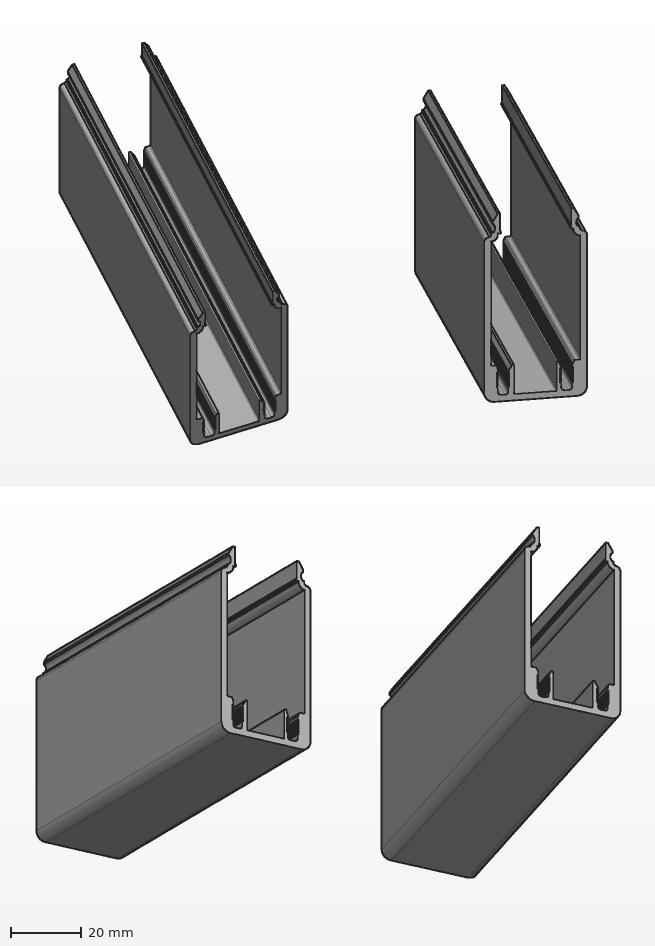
import cadquery as cq
import math

LENGTH = 100.0
WIDTH = 30.0
HEIGHT = 57.5
WALL = 2.0
BASE_RADIUS = 3.0

SHOULDER_RADIUS = 1.5
SHOULDER_TOP = 50.5
SHOULDER_BOTTOM = 49.1
NECK_RADIUS = 2.0

STEP_DEPTH = 2.1
STEP_BOTTOM = 51.0
STEP_TOP = 51.8
STEP_CHAMFER = 0.2
WAIST_DEPTH = 3.2
HOOK_DEPTH = 2.5
HOOK_BOTTOM = 54.5
HOOK_TOP = 55.2
TIP_DEPTH = 3.9
LIP_INNER_DEPTH = 4.6
BEAD_DEPTH = 4.9
BEAD_EDGE_DEPTH = 4.7
BEAD_BOTTOM = 51.4
BEAD_TOP = 52.1

PAD_TOP = 11.1
PAD_EDGE_RADIUS = 0.4
RIB_CAP_BOTTOM = 10.7
RIB_FOOT_RADIUS = 0.3
TOOTH_PITCH = 0.8
TOOTH_DEPTH = 0.3
TOOTH_FLAT = 0.2
TOOTH_COUNT = 6
TEETH_BOTTOM = 4.2

OVERLAP = 0.5


def side_point(side, depth, z):
    """A point at a depth inward from the outer face of one side (+1 or -1 along Y)."""
    return (side * (WIDTH / 2 - depth), z)


def sketch_from(side, depth, z):
    start_x = -LENGTH / 2
    return cq.Workplane("YZ", origin=(start_x, 0, 0)).moveTo(*side_point(side, depth, z))


def make_base():
    """Flat base with rounded outer corners and two plain side walls."""
    wall_top = SHOULDER_TOP - SHOULDER_RADIUS
    outer = cq.Workplane("XY").box(LENGTH, WIDTH, wall_top, centered=(True, True, False))
    outer = outer.edges("|X and <Z").fillet(BASE_RADIUS)
    cavity = cq.Workplane("XY", origin=(0, 0, WALL)).box(
        LENGTH, WIDTH - 2 * WALL, wall_top, centered=(True, True, False)
    )
    return outer.cut(cavity)


def make_lip(side):
    """Rounded shoulder, curved neck, stepped waist and hooked tip on one wall."""

    def at(depth, z):
        return side_point(side, depth, z)

    shoulder_start = SHOULDER_TOP - SHOULDER_RADIUS
    shoulder_slack = SHOULDER_RADIUS * (1 - math.sqrt(0.5))
    neck_depth = WALL + NECK_RADIUS
    neck_reach = NECK_RADIUS * math.sqrt(0.5)
    neck_top = SHOULDER_BOTTOM + NECK_RADIUS
    return (
        sketch_from(side, 0, shoulder_start - OVERLAP)
        .lineTo(*at(0, shoulder_start))
        .threePointArc(at(shoulder_slack, SHOULDER_TOP - shoulder_slack), at(SHOULDER_RADIUS, SHOULDER_TOP))
        .lineTo(*at(STEP_DEPTH, STEP_BOTTOM))
        .lineTo(*at(STEP_DEPTH, STEP_TOP - STEP_CHAMFER))
        .lineTo(*at(STEP_DEPTH + STEP_CHAMFER, STEP_TOP))
        .lineTo(*at(HOOK_DEPTH, STEP_TOP))
        .threePointArc(at(WAIST_DEPTH, (STEP_TOP + HOOK_BOTTOM) / 2), at(HOOK_DEPTH, HOOK_BOTTOM))
        .lineTo(*at(HOOK_DEPTH, HOOK_TOP))
        .lineTo(*at(TIP_DEPTH, HEIGHT))
        .lineTo(*at(LIP_INNER_DEPTH, HEIGHT))
        .lineTo(*at(LIP_INNER_DEPTH, BEAD_TOP))
        .lineTo(*at(BEAD_EDGE_DEPTH, BEAD_TOP))
        .threePointArc(at(BEAD_DEPTH, (BEAD_TOP + BEAD_BOTTOM) / 2), at(BEAD_EDGE_DEPTH, BEAD_BOTTOM))
        .lineTo(*at(neck_depth, BEAD_BOTTOM))
        .lineTo(*at(neck_depth, neck_top))
        .threePointArc(at(WALL + neck_reach, neck_top - neck_reach), at(WALL, SHOULDER_BOTTOM))
        .lineTo(*at(WALL, shoulder_start - OVERLAP))
        .close()
        .extrude(LENGTH)
    )


def make_pad(side, inner_depth):
    """Solid block in a bottom corner, from which a screw channel is cut."""
    pad_bottom = WALL - OVERLAP
    outer_depth = WALL - OVERLAP
    return (
        sketch_from(side, outer_depth, pad_bottom)
        .lineTo(*side_point(side, inner_depth, pad_bottom))
        .lineTo(*side_point(side, inner_depth, PAD_TOP))
        .lineTo(*side_point(side, outer_depth, PAD_TOP))
        .close()
        .extrude(LENGTH)
    )


def teeth(face_depth, outward):
    """Flat-bottomed grooves up a channel face, cut toward +depth (outward 1) or -depth (outward -1)."""
    root_depth = face_depth + outward * TOOTH_DEPTH
    points = []
    for tooth in range(TOOTH_COUNT):
        z = TEETH_BOTTOM + tooth * TOOTH_PITCH
        points += [
            (face_depth, z + TOOTH_FLAT / 2),
            (root_depth, z + TOOTH_PITCH / 2 - TOOTH_FLAT / 2),
            (root_depth, z + TOOTH_PITCH / 2 + TOOTH_FLAT / 2),
            (face_depth, z + TOOTH_PITCH - TOOTH_FLAT / 2),
        ]
    return points


def make_channel(
    side,
    wall_face,
    rib_face,
    wall_mouth,
    rib_mouth,
    wall_flare_bottom,
    rib_flare_bottom,
    floor_radius,
    rib_inner,
):
    """Cutter for a toothed slot with a rounded floor, a flared mouth and a round cap on its rib."""

    def at(depth, z):
        return side_point(side, depth, z)

    slack = floor_radius * (1 - math.sqrt(0.5))
    cutter_top = PAD_TOP + OVERLAP
    outline = (
        sketch_from(side, wall_face, WALL + floor_radius)
        .threePointArc(at(wall_face + slack, WALL + slack), at(wall_face + floor_radius, WALL))
        .lineTo(*at(rib_face - floor_radius, WALL))
        .threePointArc(at(rib_face - slack, WALL + slack), at(rib_face, WALL + floor_radius))
    )
    for depth, z in teeth(rib_face, 1):
        outline = outline.lineTo(*at(depth, z))
    outline = (
        outline.lineTo(*at(rib_face, rib_flare_bottom))
        .lineTo(*at(rib_mouth, RIB_CAP_BOTTOM))
        .threePointArc(at((rib_mouth + rib_inner) / 2, PAD_TOP), at(rib_inner, RIB_CAP_BOTTOM))
        .lineTo(*at(rib_inner + OVERLAP, RIB_CAP_BOTTOM))
        .lineTo(*at(rib_inner + OVERLAP, cutter_top))
        .lineTo(*at(wall_mouth, cutter_top))
        .lineTo(*at(wall_mouth, PAD_TOP))
        .lineTo(*at(wall_face, wall_flare_bottom))
    )
    for depth, z in reversed(teeth(wall_face, -1)):
        outline = outline.lineTo(*at(depth, z))
    return outline.close().extrude(LENGTH)


def fillet_line(body, y, z, radius):
    """Round the lengthwise edge at one place in the cross-section."""
    reach = 0.05
    here = cq.selectors.BoxSelector(
        (-LENGTH, y - reach, z - reach), (LENGTH, y + reach, z + reach)
    )
    return body.edges("|X").edges(here).fillet(radius)


CHANNELS = {
    1: dict(
        wall_face=4.0,
        rib_face=7.0,
        wall_mouth=3.6,
        rib_mouth=8.0,
        wall_flare_bottom=9.8,
        rib_flare_bottom=9.1,
        floor_radius=1.0,
        rib_inner=8.7,
    ),
    -1: dict(
        wall_face=4.3,
        rib_face=7.6,
        wall_mouth=3.7,
        rib_mouth=8.1,
        wall_flare_bottom=9.8,
        rib_flare_bottom=9.4,
        floor_radius=1.2,
        rib_inner=8.9,
    ),
}

body = make_base()
for side, channel in CHANNELS.items():
    body = body.union(make_lip(side))
    body = body.union(make_pad(side, channel["rib_inner"]))
    body = body.cut(make_channel(side, **channel))
body = body.clean()

for side, channel in CHANNELS.items():
    rounded_edges = [
        (WALL, PAD_TOP, PAD_EDGE_RADIUS),
        (channel["wall_mouth"], PAD_TOP, PAD_EDGE_RADIUS),
        (channel["rib_inner"], WALL, RIB_FOOT_RADIUS),
    ]
    for depth, z, radius in rounded_edges:
        body = fillet_line(body, *side_point(side, depth, z), radius)

result = body